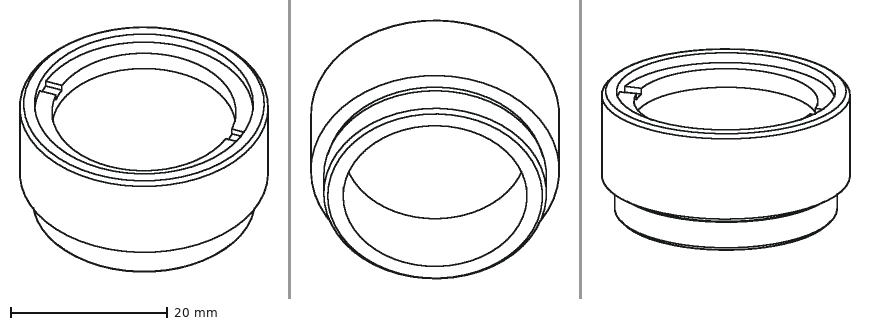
import cadquery as cq
import math

barrel_radius = 15.88
overall_height = 16.5
barrel_height = 11.45
spigot_radius = 14.23
spigot_height = 4.0
undercut_radius = 13.95
edge_chamfer = 0.5
bore_radius = 13.97

ring_depth = 1.33
ring_height = 2.55
ring_inner_radius = 11.75
slot_width = 2.05
slot_depth = 0.8

dome_rise = 0.15
lens_height = 3.18

ring_top = overall_height - ring_depth
ring_bottom = ring_top - ring_height
lens_bottom = ring_bottom - lens_height


def cylinder(radius, bottom, top):
    return cq.Workplane("XY").workplane(offset=bottom).circle(radius).extrude(top - bottom)


def make_housing():
    spigot = cylinder(spigot_radius, 0, spigot_height).faces("<Z").chamfer(edge_chamfer)
    barrel_bottom = overall_height - barrel_height
    undercut = cylinder(undercut_radius, spigot_height, barrel_bottom)
    barrel = cylinder(barrel_radius, barrel_bottom, overall_height).faces(">Z").chamfer(edge_chamfer)
    bore = cylinder(bore_radius, lens_bottom, overall_height)
    opening = cylinder(ring_inner_radius, 0, lens_bottom)
    return spigot.union(undercut).union(barrel).cut(bore).cut(opening)


def make_retaining_ring():
    ring = cylinder(bore_radius, ring_bottom, ring_top)
    ring = ring.cut(cylinder(ring_inner_radius, ring_bottom, ring_top))
    slots = (
        cq.Workplane("XY")
        .workplane(offset=ring_top - slot_depth)
        .rect(2 * bore_radius, slot_width)
        .extrude(slot_depth)
    )
    return ring.cut(slots)


def make_lens():
    dome_radius = (ring_inner_radius**2 + dome_rise**2) / (2 * dome_rise)
    half_angle = math.asin(ring_inner_radius / dome_radius) / 2
    arc_middle = (
        dome_radius * math.sin(half_angle),
        ring_bottom + dome_rise - dome_radius * (1 - math.cos(half_angle)),
    )
    return (
        cq.Workplane("XZ")
        .moveTo(0, lens_bottom)
        .lineTo(bore_radius, lens_bottom)
        .lineTo(bore_radius, ring_bottom)
        .lineTo(ring_inner_radius, ring_bottom)
        .threePointArc(arc_middle, (0, ring_bottom + dome_rise))
        .close()
        .revolve(360, (0, 0, 0), (0, 1, 0))
    )


housing = make_housing()
retaining_ring = make_retaining_ring()
lens = make_lens()

result = cq.Compound.makeCompound([housing.val(), retaining_ring.val(), lens.val()])